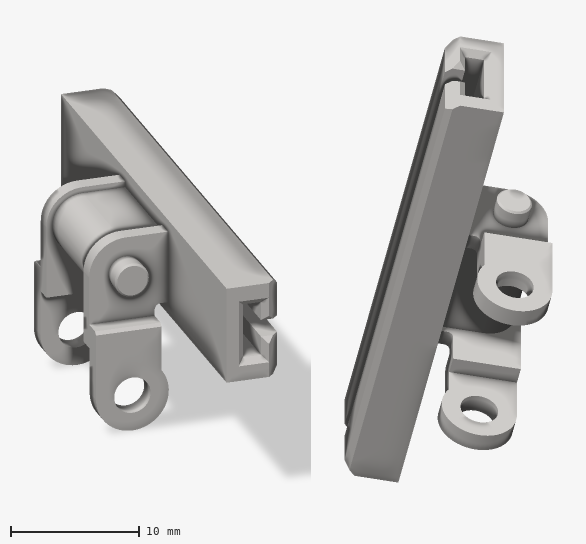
import cadquery as cq


RAIL_LENGTH = 40.0
RAIL_DEPTH = 4.5
RAIL_HEIGHT = 8.0
RAIL_END_BEVEL = 1.0
RAIL_LONG_BEVEL = 0.5
PIVOT_TO_RAIL = 3.5
RAIL_BACK = PIVOT_TO_RAIL + RAIL_DEPTH
RAIL_BOTTOM = -RAIL_HEIGHT / 2

LIP_THICKNESS = 1.5
CAVITY_DEPTH = 1.5
CAVITY_HEIGHT = 4.5
MOUTH_HEIGHT = 1.4
SLOT_LEAD_IN = 0.5

KNUCKLE_LENGTH = 9.0
KNUCKLE_RADIUS = 2.5

PIN_DIAMETER = 2.8
PIN_LENGTH = 15.0
PIN_CHAMFER = 0.15

LINK_RADIUS = 3.0
LINK_INNER_X = KNUCKLE_LENGTH / 2
LINK_OUTER_X = PIN_LENGTH / 2
UPPER_TAB_THICKNESS = 1.35
LOWER_LEG_THICKNESS = 1.55
LEG_BACK = 2.4
HEEL_FILLET = 0.5
CRANK_TOP = RAIL_BOTTOM
CRANK_HEIGHT = 2.0
CRANK_CHAMFER = 0.25
EYE_DROP = 9.75
EYE_HOLE_DIAMETER = 3.0


def cylinder_along_x(diameter, length):
    return cq.Workplane("YZ").circle(diameter / 2).extrude(length / 2, both=True)


def slot_profile(x, margin):
    """T-shaped slot section at the given X, grown outward by margin; its mouth runs past the rail back."""
    cavity_front = RAIL_BACK - LIP_THICKNESS - CAVITY_DEPTH - margin
    cavity_back = RAIL_BACK - LIP_THICKNESS + margin
    mouth_end = RAIL_BACK + LIP_THICKNESS
    cavity_top = CAVITY_HEIGHT / 2 + margin
    mouth_top = MOUTH_HEIGHT / 2 + margin
    return (
        cq.Workplane("YZ", origin=(x, 0, 0))
        .moveTo(cavity_front, -cavity_top)
        .lineTo(cavity_back, -cavity_top)
        .lineTo(cavity_back, -mouth_top)
        .lineTo(mouth_end, -mouth_top)
        .lineTo(mouth_end, mouth_top)
        .lineTo(cavity_back, mouth_top)
        .lineTo(cavity_back, cavity_top)
        .lineTo(cavity_front, cavity_top)
        .close()
    )


def slot_lead_in():
    """Flared slot mouth at the -X end of the rail, narrowing from the end face to the plain slot."""
    end_x = -RAIL_LENGTH / 2
    wide = slot_profile(end_x, SLOT_LEAD_IN).wires().val()
    narrow = slot_profile(end_x + SLOT_LEAD_IN, 0).wires().val()
    return cq.Workplane(cq.Solid.makeLoft([wide, narrow], True))


def make_rail():
    bar = cq.Workplane("XY").box(RAIL_LENGTH, RAIL_DEPTH, RAIL_HEIGHT)
    bar = bar.translate((0, PIVOT_TO_RAIL + RAIL_DEPTH / 2, 0))
    bar = bar.faces(">Y").edges("|X").chamfer(RAIL_LONG_BEVEL)

    half_length = RAIL_LENGTH / 2
    plan = (
        cq.Workplane("XY")
        .moveTo(-half_length, PIVOT_TO_RAIL)
        .lineTo(half_length, PIVOT_TO_RAIL)
        .lineTo(half_length, RAIL_BACK - RAIL_END_BEVEL)
        .lineTo(half_length - RAIL_END_BEVEL, RAIL_BACK)
        .lineTo(-half_length + RAIL_END_BEVEL, RAIL_BACK)
        .lineTo(-half_length, RAIL_BACK - RAIL_END_BEVEL)
        .close()
        .extrude(RAIL_HEIGHT / 2, both=True)
    )
    bar = bar.intersect(plan)

    bar = bar.cut(slot_profile(-half_length, 0).extrude(RAIL_LENGTH))
    lead_in = slot_lead_in()
    for flare in (lead_in, lead_in.mirror("YZ")):
        bar = bar.cut(flare)

    block = cq.Workplane("XY").box(KNUCKLE_LENGTH, PIVOT_TO_RAIL, 2 * KNUCKLE_RADIUS)
    block = block.translate((0, PIVOT_TO_RAIL / 2, 0))
    nose = cylinder_along_x(2 * KNUCKLE_RADIUS, KNUCKLE_LENGTH)
    pin_hole = cylinder_along_x(PIN_DIAMETER, KNUCKLE_LENGTH)
    return bar.union(block).union(nose).cut(pin_hole)


def make_pin():
    return cylinder_along_x(PIN_DIAMETER, PIN_LENGTH).faces("<X or >X").chamfer(PIN_CHAMFER)


def link_side_outline():
    """Side shape of a link: rounded pivot head, straight leg and ring-shaped eye."""
    head_and_leg = (
        cq.Workplane("YZ")
        .moveTo(PIVOT_TO_RAIL, LINK_RADIUS)
        .lineTo(0, LINK_RADIUS)
        .radiusArc((-LINK_RADIUS, 0), -LINK_RADIUS)
        .lineTo(-LINK_RADIUS, -EYE_DROP)
        .lineTo(LEG_BACK, -EYE_DROP)
        .lineTo(LEG_BACK, -LINK_RADIUS - HEEL_FILLET)
        .radiusArc((LEG_BACK + HEEL_FILLET, -LINK_RADIUS), HEEL_FILLET)
        .lineTo(PIVOT_TO_RAIL, -LINK_RADIUS)
        .close()
        .extrude(LINK_OUTER_X)
    )
    eye = cq.Workplane("YZ").center(0, -EYE_DROP).circle(LINK_RADIUS).extrude(LINK_OUTER_X)
    return head_and_leg.union(eye)


def link_crank_outline():
    """Front shape of the +X link: upper tab by the knuckle, stepping outward to the lower leg."""
    tab_outer_x = LINK_INNER_X + UPPER_TAB_THICKNESS
    leg_inner_x = LINK_OUTER_X - LOWER_LEG_THICKNESS
    crank_bottom = CRANK_TOP - CRANK_HEIGHT
    link_bottom = -EYE_DROP - LINK_RADIUS
    return (
        cq.Workplane("XZ")
        .moveTo(LINK_INNER_X, LINK_RADIUS)
        .lineTo(tab_outer_x, LINK_RADIUS)
        .lineTo(tab_outer_x, CRANK_TOP)
        .lineTo(LINK_OUTER_X - CRANK_CHAMFER, CRANK_TOP)
        .lineTo(LINK_OUTER_X, CRANK_TOP - CRANK_CHAMFER)
        .lineTo(LINK_OUTER_X, link_bottom)
        .lineTo(leg_inner_x, link_bottom)
        .lineTo(leg_inner_x, crank_bottom)
        .lineTo(LINK_INNER_X, crank_bottom)
        .close()
        .extrude(PIVOT_TO_RAIL, both=True)
    )


def make_link():
    """Link on the +X side of the knuckle."""
    link = link_side_outline().intersect(link_crank_outline())
    pin_hole = cylinder_along_x(PIN_DIAMETER, PIN_LENGTH)
    eye_hole = cylinder_along_x(EYE_HOLE_DIAMETER, PIN_LENGTH).translate((0, 0, -EYE_DROP))
    return link.cut(pin_hole).cut(eye_hole)


rail = make_rail()
pin = make_pin()
link = make_link()
links = [link, link.mirror("YZ")]

result = cq.Compound.makeCompound([body.solids().val() for body in (rail, pin, *links)])